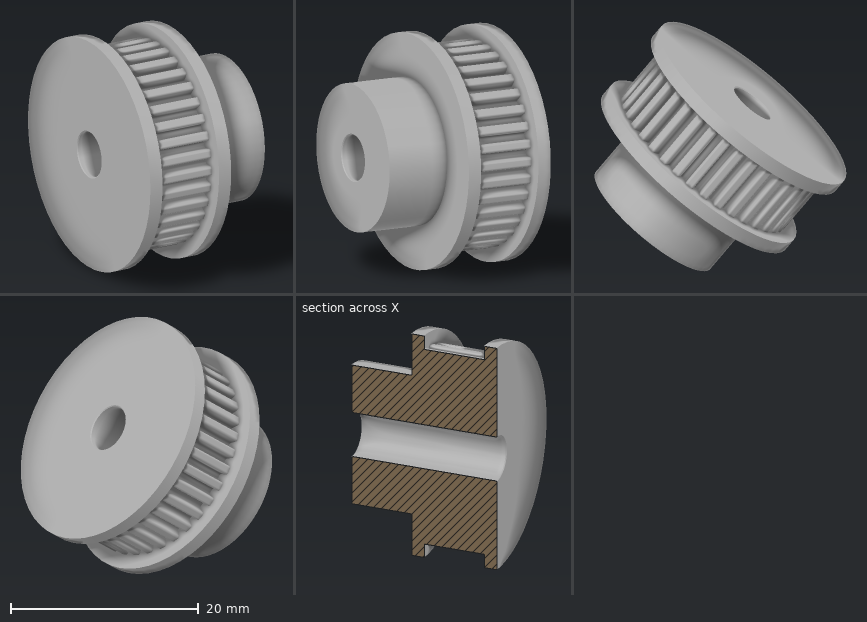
import cadquery as cq

tooth_count = 36
tooth_diameter = 22.4
root_diameter = 20.0
tooth_width = 1.0
tooth_fillet = 0.25
rib_overshoot = 0.5

flange_diameter = 25.5
flange_width = 1.5
ring_width = 7.0
hub_diameter = 16.0
hub_length = 7.0
bore_diameter = 5.0
bore_chamfer = 0.1

ring_start = flange_width
rear_flange_start = ring_start + ring_width
hub_start = rear_flange_start + flange_width
total_length = hub_start + hub_length


def plane_at(position):
    """Workplane square to the Y axis; extruding a negative length goes toward +Y."""
    return cq.Workplane("XZ", origin=(0, position, 0))


def disc(diameter, start, length):
    """Solid cylinder about the Y axis, growing toward +Y from `start`."""
    return plane_at(start).circle(diameter / 2).extrude(-length)


def toothed_ring():
    """Straight parallel-sided teeth, one centred on +X, rounded at tip and root."""
    rib_height = tooth_diameter - root_diameter + 2 * rib_overshoot
    ribs = (
        plane_at(ring_start)
        .polarArray(root_diameter / 2, 0, 360, tooth_count)
        .rect(rib_height, tooth_width)
        .extrude(-ring_width)
    )
    core = disc(root_diameter, ring_start, ring_width)
    ring = core.union(ribs).intersect(disc(tooth_diameter, ring_start, ring_width))
    return ring.edges("|Y").fillet(tooth_fillet)


def bored(body):
    """Through bore with a small chamfer where it opens at each end."""
    drilled = body.cut(disc(bore_diameter, 0, total_length))
    bore_edges = drilled.faces("<Y or >Y").edges(cq.selectors.RadiusNthSelector(0))
    return bore_edges.chamfer(bore_chamfer)


front_flange = disc(flange_diameter, 0, flange_width)
rear_flange = disc(flange_diameter, rear_flange_start, flange_width)
hub = disc(hub_diameter, hub_start, hub_length)
body = toothed_ring().union(front_flange).union(rear_flange).union(hub)

result = bored(body)